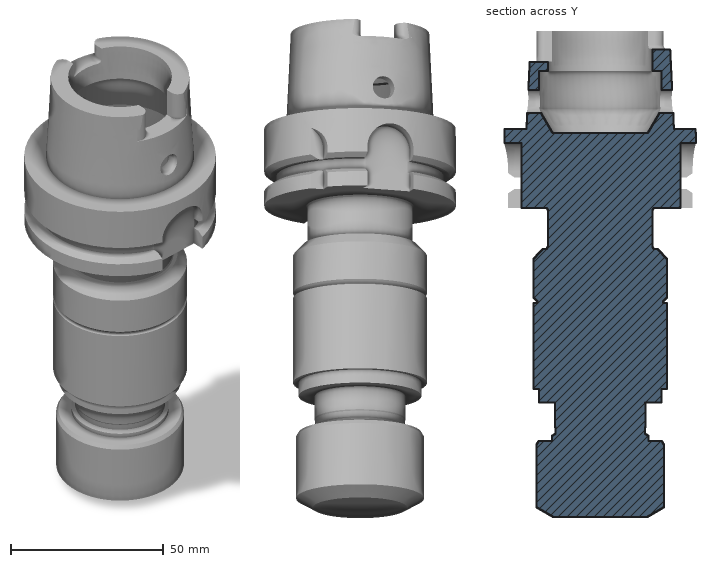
import cadquery as cq
import math

TOTAL_LENGTH = 159.4
SHANK_HEIGHT = 32.0
BOTTOM_Z = SHANK_HEIGHT - TOTAL_LENGTH

SHANK_BASE_DIA = 48.6
SHANK_TIP_DIA = 45.5
BORE_DIA = 34.05
BORE_STRAIGHT_DEPTH = 13.0
RELIEF_DIA = 40.08
RELIEF_BOTTOM_Z = 6.4
BORE_FLOOR_DIA = 31.3
BORE_FLOOR_Z = -1.2
CROSS_HOLE_DIA = 7.5
CROSS_HOLE_Z = 9.0

NOTCH_WIDTH = 12.54
SHALLOW_NOTCH_DEPTH = 5.8
DEEP_NOTCH_DEPTH = 10.0
NOTCH_MOUTH_RADIUS = 2.85
NOTCH_MOUTH_REACH = 23.02
NOTCH_MOUTH_END_ANGLE = math.radians(40)
NOTCH_FLOOR_RADIUS = 1.2

FLANGE_DIA = 62.94
FLANGE_HEIGHT = 26.0
GROOVE_DIA = 55.0
GROOVE_TOP_Z = -16.0
GROOVE_BOTTOM_Z = -19.8
GROOVE_UPPER_CHAMFER_Z = -14.6
GROOVE_LOWER_CHAMFER_Z = -21.2
GROOVE_LIP_DIA = 59.0

SLOT_TOP_Z = -4.75
LEFT_SLOT_WIDTH = 16.0
LEFT_SLOT_FLOOR = 26.5
RIGHT_SLOT_WIDTH = 18.0
RIGHT_SLOT_FLOOR = 26.0
SIDE_SLOT_FLOOR = 20.2
SIDE_SLOT_EDGE_Y = 19.8
SIDE_SLOT_WIDTH = LEFT_SLOT_WIDTH

NECK_END_DIA = 35.2
NECK_DIA = 34.6
NECK_FLARE_HEIGHT = 0.6
UPPER_SLEEVE_TOP_Z = -39.3
SLEEVE_DIA = 44.0
SLEEVE_TOP_DIA = 37.7
SLEEVE_SHOULDER_Z = -42.7
SLEEVE_GROOVE_TOP_Z = -55.3
SLEEVE_GROOVE_DIA = 41.5
LOWER_SLEEVE_TOP_Z = -57.0
LOWER_SLEEVE_BOTTOM_Z = -85.4
RING_DIA = 40.4
RING_BOTTOM_Z = -89.8
SPINDLE_DIA = 30.0
SPINDLE_STEP_Z = -97.6
SPINDLE_END_DIA = 29.59
SPINDLE_EDGE_CHAMFER = 0.4
COLLAR_DIA = 31.98
COLLAR_TOP_Z = -100.0
COLLAR_CHAMFER_HEIGHT = 0.8

NUT_DIA = 42.0
NUT_TOP_Z = -102.3
NUT_TOP_CHAMFER_HEIGHT = 1.3
NUT_TOP_DIA = 40.4
NUT_BOTTOM_DIA = 31.0
NUT_BOTTOM_CHAMFER_HEIGHT = 3.2


def revolve(diameters_and_heights):
    """Solid of revolution about Z from (diameter, z) points, closed along the axis."""
    outline = [(diameter / 2, z) for diameter, z in diameters_and_heights]
    first_z = outline[0][1]
    last_z = outline[-1][1]
    points = [(0, first_z)] + outline + [(0, last_z)]
    return cq.Workplane("XZ").polyline(points).close().revolve(360, (0, 0, 0), (0, 1, 0))


def make_shank_and_flange():
    return revolve([
        (SHANK_TIP_DIA, SHANK_HEIGHT),
        (SHANK_BASE_DIA, 0),
        (FLANGE_DIA, 0),
        (FLANGE_DIA, GROOVE_UPPER_CHAMFER_Z),
        (GROOVE_LIP_DIA, GROOVE_TOP_Z),
        (GROOVE_DIA, GROOVE_TOP_Z),
        (GROOVE_DIA, GROOVE_BOTTOM_Z),
        (GROOVE_LIP_DIA, GROOVE_BOTTOM_Z),
        (FLANGE_DIA, GROOVE_LOWER_CHAMFER_Z),
        (FLANGE_DIA, -FLANGE_HEIGHT),
    ])


def make_stem():
    return revolve([
        (NECK_END_DIA, -FLANGE_HEIGHT),
        (NECK_DIA, -FLANGE_HEIGHT - NECK_FLARE_HEIGHT),
        (NECK_DIA, UPPER_SLEEVE_TOP_Z + NECK_FLARE_HEIGHT),
        (NECK_END_DIA, UPPER_SLEEVE_TOP_Z),
        (SLEEVE_TOP_DIA, UPPER_SLEEVE_TOP_Z),
        (SLEEVE_DIA, SLEEVE_SHOULDER_Z),
        (SLEEVE_DIA, SLEEVE_GROOVE_TOP_Z),
        (SLEEVE_GROOVE_DIA, SLEEVE_GROOVE_TOP_Z - (SLEEVE_DIA - SLEEVE_GROOVE_DIA) / 2),
        (SLEEVE_GROOVE_DIA, LOWER_SLEEVE_TOP_Z),
        (SLEEVE_DIA, LOWER_SLEEVE_TOP_Z),
        (SLEEVE_DIA, LOWER_SLEEVE_BOTTOM_Z),
        (RING_DIA, LOWER_SLEEVE_BOTTOM_Z),
        (RING_DIA, RING_BOTTOM_Z),
        (SPINDLE_END_DIA, RING_BOTTOM_Z),
        (SPINDLE_DIA, RING_BOTTOM_Z - SPINDLE_EDGE_CHAMFER),
        (SPINDLE_DIA, SPINDLE_STEP_Z),
        (SPINDLE_END_DIA, SPINDLE_STEP_Z - SPINDLE_EDGE_CHAMFER),
        (SPINDLE_END_DIA, COLLAR_TOP_Z),
        (COLLAR_DIA, COLLAR_TOP_Z - COLLAR_CHAMFER_HEIGHT),
        (COLLAR_DIA, NUT_TOP_Z),
        (NUT_TOP_DIA, NUT_TOP_Z),
        (NUT_DIA, NUT_TOP_Z - NUT_TOP_CHAMFER_HEIGHT),
        (NUT_DIA, BOTTOM_Z + NUT_BOTTOM_CHAMFER_HEIGHT),
        (NUT_BOTTOM_DIA, BOTTOM_Z),
    ])


def make_bore():
    return revolve([
        (BORE_DIA, SHANK_HEIGHT),
        (BORE_DIA, SHANK_HEIGHT - BORE_STRAIGHT_DEPTH),
        (RELIEF_DIA, SHANK_HEIGHT - BORE_STRAIGHT_DEPTH),
        (RELIEF_DIA, RELIEF_BOTTOM_Z),
        (BORE_FLOOR_DIA, BORE_FLOOR_Z),
    ])


def make_rim_slot(side, width, floor_distance, center_y):
    """Round-topped cutter along X on the given side, open below the flange."""
    radius = width / 2
    arch_z = SLOT_TOP_Z - radius
    length = FLANGE_DIA / 2 - floor_distance
    return (
        cq.Workplane("YZ", origin=(side * floor_distance, center_y, 0))
        .moveTo(-radius, -FLANGE_HEIGHT)
        .lineTo(-radius, arch_z)
        .threePointArc((0, SLOT_TOP_Z), (radius, arch_z))
        .lineTo(radius, -FLANGE_HEIGHT)
        .close()
        .extrude(side * length)
    )


def make_notch(side, depth):
    """Notch through one wall of the shank tip, with rounded corners at its outer mouth."""
    half = NOTCH_WIDTH / 2
    radius = NOTCH_MOUTH_RADIUS
    round_y = half + radius
    round_x = math.sqrt((NOTCH_MOUTH_REACH - radius) ** 2 - round_y ** 2)
    end_x = round_x + radius * math.cos(NOTCH_MOUTH_END_ANGLE)
    end_y = round_y + radius * math.sin(NOTCH_MOUTH_END_ANGLE)
    far_x = FLANGE_DIA / 2
    far_y = end_y + (far_x - end_x) * math.tan(NOTCH_MOUTH_END_ANGLE)
    half_outline = (
        cq.Workplane("XY", origin=(0, 0, SHANK_HEIGHT - depth))
        .lineTo(0, half)
        .lineTo(round_x, half)
        .threePointArc((round_x + radius, round_y), (end_x, end_y))
        .lineTo(far_x, far_y)
        .lineTo(far_x, 0)
        .mirrorX()
    )
    notch = half_outline.extrude(depth)
    if side < 0:
        notch = notch.mirror("YZ")
    return notch


def make_cross_hole():
    return (
        cq.Workplane("YZ", origin=(0, 0, CROSS_HOLE_Z))
        .circle(CROSS_HOLE_DIA / 2)
        .extrude(FLANGE_DIA / 2, both=True)
    )


body = make_shank_and_flange().union(make_stem())
body = body.cut(make_bore())
body = body.cut(make_cross_hole())

shallow_notch = make_notch(-1, SHALLOW_NOTCH_DEPTH).faces("<Z").edges().fillet(NOTCH_FLOOR_RADIUS)
body = body.cut(shallow_notch)
body = body.cut(make_notch(1, DEEP_NOTCH_DEPTH))

side_slot_center_y = SIDE_SLOT_EDGE_Y + SIDE_SLOT_WIDTH / 2
body = body.cut(make_rim_slot(-1, LEFT_SLOT_WIDTH, LEFT_SLOT_FLOOR, 0))
body = body.cut(make_rim_slot(1, RIGHT_SLOT_WIDTH, RIGHT_SLOT_FLOOR, 0))
body = body.cut(make_rim_slot(-1, SIDE_SLOT_WIDTH, SIDE_SLOT_FLOOR, side_slot_center_y))

result = body